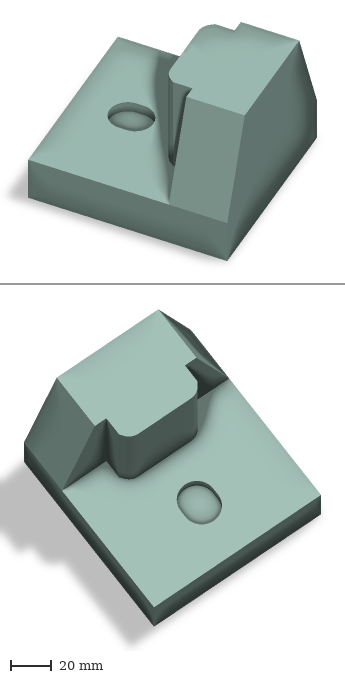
import cadquery as cq
import math

base_length = 109.0
base_width = 102.0
base_height = 25.0

total_height = 80.0
wall_thickness = 32.0
wall_top_width = 62.0

block_width = 48.0
block_reach = 16.0
corner_radius = 8.0
corner_sweep = math.radians(55.6)
relief_radius = 20.0
relief_end_setback = 5.3

slot_length = 24.0
slot_width = 20.0
slot_center_x = 32.0
slot_depth = 6.0

upright_height = total_height - base_height
wall_inner_x = base_length - wall_thickness
block_front_x = wall_inner_x - block_reach


def make_base():
    return cq.Workplane("XY").box(
        base_length, base_width, base_height, centered=(False, True, False)
    )


def make_tapered_wall():
    return (
        cq.Workplane("YZ", origin=(wall_inner_x, 0, 0))
        .moveTo(-base_width / 2, base_height)
        .lineTo(base_width / 2, base_height)
        .lineTo(wall_top_width / 2, total_height)
        .lineTo(-wall_top_width / 2, total_height)
        .close()
        .extrude(wall_thickness)
    )


def corner_point(side, angle):
    """Point on a convex corner arc, angle measured from its tangency with the front face."""
    x = block_front_x + corner_radius * (1 - math.cos(angle))
    y = side * (block_width / 2 - corner_radius * (1 - math.sin(angle)))
    return (x, y)


def make_block():
    """Each front corner is a convex arc that runs into a short, shallow concave relief."""
    half_width = block_width / 2
    relief_end_x = block_front_x + relief_end_setback
    return (
        cq.Workplane("XY", origin=(0, 0, base_height))
        .moveTo(wall_inner_x, -half_width)
        .lineTo(relief_end_x, -half_width)
        .radiusArc(corner_point(-1, corner_sweep), -relief_radius)
        .threePointArc(corner_point(-1, corner_sweep / 2), corner_point(-1, 0))
        .lineTo(*corner_point(1, 0))
        .threePointArc(corner_point(1, corner_sweep / 2), corner_point(1, corner_sweep))
        .radiusArc((relief_end_x, half_width), -relief_radius)
        .lineTo(wall_inner_x, half_width)
        .close()
        .extrude(upright_height)
    )


def make_slot():
    return (
        cq.Workplane("XY", origin=(slot_center_x, 0, base_height))
        .slot2D(slot_length, slot_width)
        .extrude(-slot_depth)
    )


result = make_base().union(make_tapered_wall()).union(make_block()).cut(make_slot())